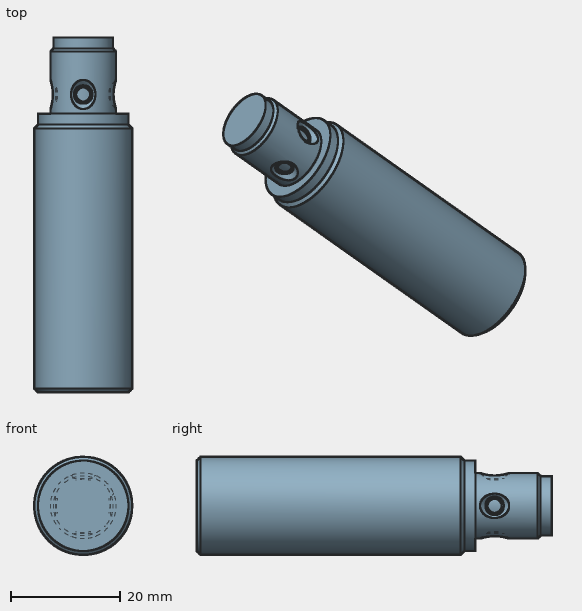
import cadquery as cq

total_length = 65.0
body_radius = 9.0
body_chamfer = 0.7
collar_radius = 8.3
collar_length = 2.0
neck_radius = 6.01
neck_chamfer = 0.6
tip_radius = 5.45
tip_length = 2.0
neck_and_tip_length = 14.0

hole_count = 4
hole_from_rear = 10.45
countersink_radius = 2.65
seat_radius = 1.7
socket_radius = 1.3
countersink_depth = countersink_radius - seat_radius
core_radius = 4.9

front_y = -total_length / 2
rear_y = total_length / 2
collar_rear_y = rear_y - neck_and_tip_length
collar_front_y = collar_rear_y - collar_length
neck_rear_y = rear_y - tip_length


def make_turned_body():
    """Revolve the stepped half profile about the Y axis."""
    return (
        cq.Workplane("XY")
        .moveTo(0, front_y)
        .lineTo(body_radius - body_chamfer, front_y)
        .lineTo(body_radius, front_y + body_chamfer)
        .lineTo(body_radius, collar_front_y - body_chamfer)
        .lineTo(collar_radius, collar_front_y)
        .lineTo(collar_radius, collar_rear_y)
        .lineTo(neck_radius, collar_rear_y)
        .lineTo(neck_radius, neck_rear_y - neck_chamfer)
        .lineTo(tip_radius, neck_rear_y)
        .lineTo(tip_radius, rear_y)
        .lineTo(0, rear_y)
        .close()
        .revolve(360, (0, 0, 0), (0, 1, 0))
    )


def make_hole_cutter():
    """Countersink with a flat seat and a smaller socket ending on the core, entering from +Z."""
    seat_z = neck_radius - countersink_depth
    hole_y = rear_y - hole_from_rear
    cutter = (
        cq.Workplane("XZ", origin=(0, hole_y, 0))
        .lineTo(socket_radius, 0)
        .lineTo(socket_radius, seat_z)
        .lineTo(seat_radius, seat_z)
        .lineTo(countersink_radius, neck_radius)
        .lineTo(0, neck_radius)
        .close()
        .revolve(360, (0, 0, 0), (0, 1, 0))
    )
    core = (
        cq.Workplane("XZ", origin=(0, hole_y, 0))
        .circle(core_radius)
        .extrude(countersink_radius, both=True)
    )
    return cutter.cut(core)


result = make_turned_body()
for index in range(hole_count):
    angle = index * 360 / hole_count
    result = result.cut(make_hole_cutter().rotate((0, 0, 0), (0, 1, 0), angle))